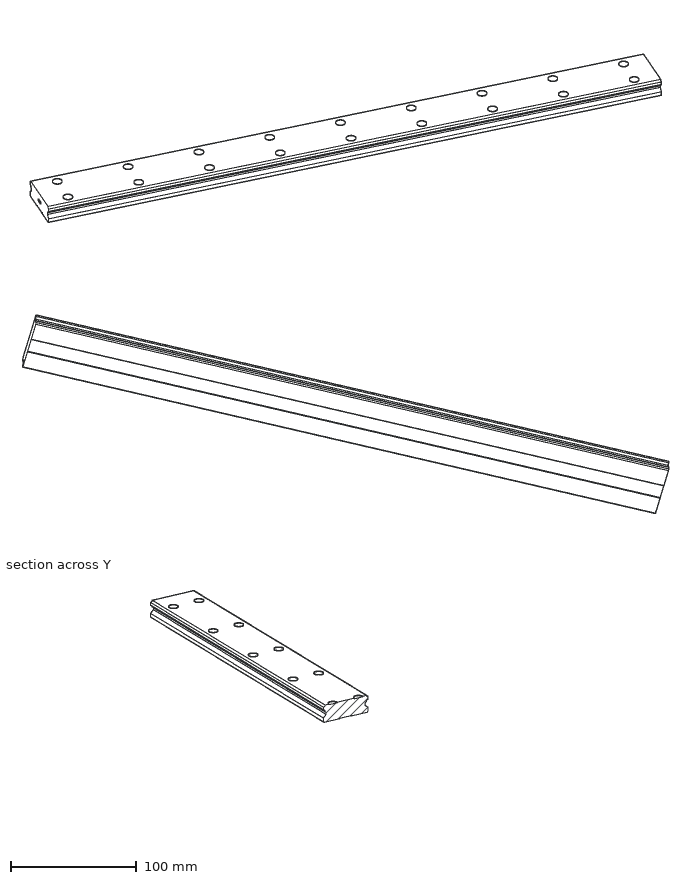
import cadquery as cq
import math

length = 520.0
width = 42.0
height = 15.0
half_width = width / 2

raceway_size = 1.5
raceway_sag = 0.5
head_land_top = height - raceway_size
head_land_bottom = 11.0

neck_inset = 2.5
neck_top = 8.5
neck_bottom = 7.0
foot_height = 4.0
foot_chamfer = 1.0

relief_mouth_width = 12.0
relief_roof_width = 11.0
relief_depth = 0.3

holes_per_row = 9
end_margin = 20.0
hole_pitch = (length - 2 * end_margin) / (holes_per_row - 1)
row_spacing = 24.0
rows = 2
hole_diameter = 8.0
hole_depth = 0.5

slot_width = 5.0
slot_height = 1.5
slot_depth = 0.5
slot_level = height / 2


def half_profile():
    """Right half of the rail cross-section, closed along the centre plane."""
    raceway_x = half_width - raceway_size
    sag = raceway_sag / math.sqrt(2)
    mid_x = half_width - raceway_size / 2 - sag
    return (
        cq.Workplane("XZ")
        .moveTo(0, relief_depth)
        .lineTo(relief_roof_width / 2, relief_depth)
        .lineTo(relief_mouth_width / 2, 0)
        .lineTo(half_width - foot_chamfer, 0)
        .lineTo(half_width, foot_chamfer)
        .lineTo(half_width, foot_height)
        .lineTo(half_width - neck_inset, neck_bottom)
        .lineTo(half_width - neck_inset, neck_top)
        .lineTo(raceway_x, head_land_bottom - raceway_size)
        .threePointArc(
            (mid_x, head_land_bottom - raceway_size / 2 + sag),
            (half_width, head_land_bottom),
        )
        .lineTo(half_width, head_land_top)
        .threePointArc(
            (mid_x, head_land_top + raceway_size / 2 - sag),
            (raceway_x, height),
        )
        .lineTo(0, height)
        .close()
    )


def rail_body():
    """Full rail centred on the origin in X and Y."""
    half = half_profile().extrude(length / 2, both=True)
    return half.union(half.mirror("YZ")).clean()


def mounting_recesses():
    """Round recesses sunk into the top face."""
    return (
        cq.Workplane("XY", origin=(0, 0, height))
        .rarray(row_spacing, hole_pitch, rows, holes_per_row)
        .circle(hole_diameter / 2)
        .extrude(-hole_depth)
    )


def end_slot():
    """Rectangular pocket entering the front end face along +Y."""
    return (
        cq.Workplane("XZ", origin=(0, -length / 2, slot_level))
        .rect(slot_width, slot_height)
        .extrude(-slot_depth)
    )


result = rail_body().cut(mounting_recesses()).cut(end_slot())